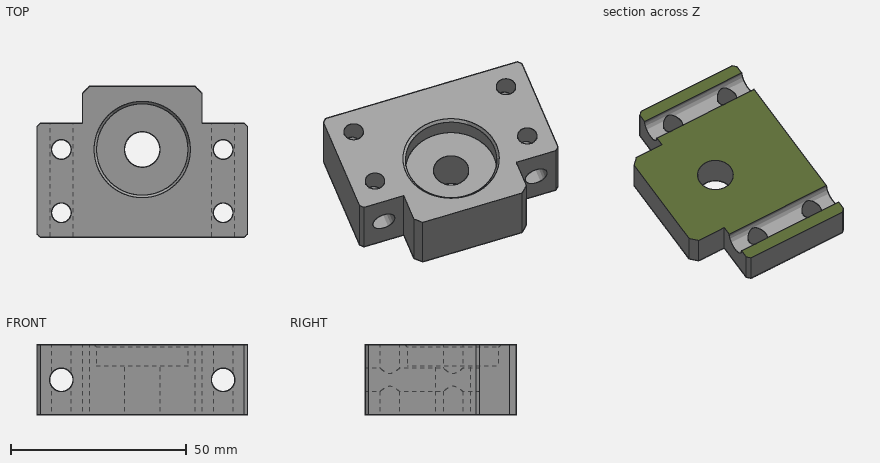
import cadquery as cq

width = 60.0
depth = 43.0
height = 20.0

shoulder_y = 32.5
raised_width = 34.0
corner_chamfer = 1.0
raised_chamfer = 2.0

bore_y = 25.0
bore_diameter = 10.0
seat_diameter = 26.0
seat_depth = 6.0
seat_chamfer = 0.7

hole_spacing_x = 46.0
front_row_y = 7.0
vertical_hole_diameter = 5.5
cross_hole_diameter = 6.6


def make_body():
    base = cq.Workplane("XY").box(width, shoulder_y, height, centered=(True, False, False))
    base = base.edges("|Z").chamfer(corner_chamfer)
    raised = cq.Workplane("XY").box(raised_width, depth, height, centered=(True, False, False))
    raised = raised.edges("|Z and >Y").chamfer(raised_chamfer)
    return base.union(raised)


def vertical_cylinder(x, y, bottom, diameter):
    """Cutter running from the bottom level up to the top face."""
    return cq.Workplane("XY", origin=(x, y, bottom)).circle(diameter / 2).extrude(height - bottom)


def make_seat():
    """Flat-bottomed seat that flares outward at the top face."""
    seat = vertical_cylinder(0, bore_y, height - seat_depth, seat_diameter)
    flare = (
        cq.Workplane("XY", origin=(0, bore_y, height))
        .circle(seat_diameter / 2 + seat_chamfer)
        .extrude(-seat_chamfer, taper=45)
    )
    return seat.union(flare)


def make_cross_hole(x):
    """Cutter running from front to back at mid height."""
    return (
        cq.Workplane("XZ", origin=(x, 0, height / 2))
        .circle(cross_hole_diameter / 2)
        .extrude(-depth)
    )


result = make_body().cut(make_seat()).cut(vertical_cylinder(0, bore_y, 0, bore_diameter))

for hole_x in (-hole_spacing_x / 2, hole_spacing_x / 2):
    result = result.cut(make_cross_hole(hole_x))
    for hole_y in (front_row_y, bore_y):
        result = result.cut(vertical_cylinder(hole_x, hole_y, 0, vertical_hole_diameter))